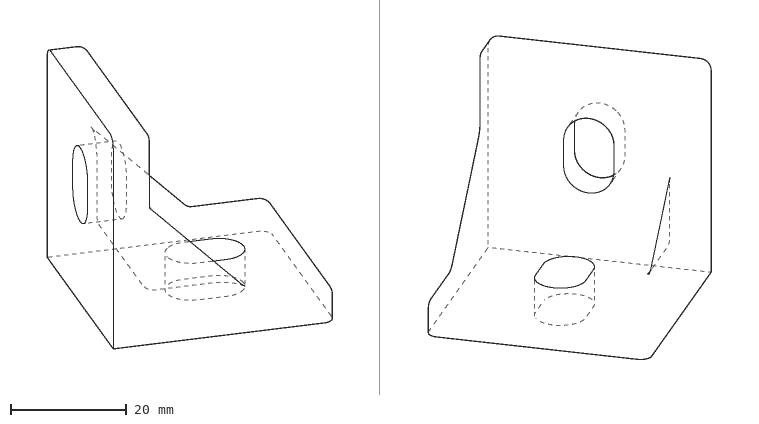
import cadquery as cq

size = 40.0
plate = 7.0
rib_width = 5.0
rib_reach = 24.9
edge_radius = 2.0
wide_radius = 2.35
slot_width = 9.0
slot_length = 14.0
slot_center = 22.5

probe = 0.05


def extrude_profile(points, x_start, width):
    """Extrude a Y-Z outline along +X."""
    return cq.Workplane("YZ", origin=(x_start, 0, 0)).polyline(points).close().extrude(width)


def edges_at(body, low, high):
    """Edges whose centres lie between two corner points."""
    low = tuple(value - probe for value in low)
    high = tuple(value + probe for value in high)
    return body.edges(cq.selectors.BoxSelector(low, high))


def make_rib(x_start, inner_x, radius):
    """Triangular rib whose sloping edge is rounded on the inner side."""
    outline = [(0, 0), (rib_reach + plate, 0), (0, rib_reach + plate)]
    rib = extrude_profile(outline, x_start, rib_width)
    slope_middle = (rib_reach + plate) / 2
    point = (inner_x, slope_middle, slope_middle)
    return edges_at(rib, point, point).fillet(radius)


def round_junction(body, x_low, x_high, radius, corner_depth):
    """Fillet the concave edges around a rib's foot, up to corner_depth off each plate in the corner."""
    feet = [
        ((x_low, plate, plate), (x_high, plate, rib_reach)),
        ((x_low, plate, plate), (x_high, rib_reach, plate)),
        ((x_low, plate, plate), (x_high, plate + corner_depth, plate + corner_depth)),
    ]
    edges = []
    for low, high in feet:
        for edge in edges_at(body, low, high).vals():
            if not any(edge.isSame(other) for other in edges):
                edges.append(edge)
    return body.newObject(edges).fillet(radius)


def cut_slot(body, plane, plane_origin):
    """Cut a slot through one plate; it is elongated away from the outer corner."""
    cutter = cq.Workplane(plane, origin=plane_origin).slot2D(slot_length, slot_width, 90)
    return body.cut(cutter.extrude(plate, both=True))


angle_outline = [(0, 0), (size, 0), (size, plate), (plate, plate), (plate, size), (0, size)]
body = extrude_profile(angle_outline, 0, size)
body = edges_at(body, (0, size, plate), (size, size, plate)).fillet(wide_radius)
body = edges_at(body, (0, plate, size), (size, plate, size)).fillet(edge_radius)

body = body.union(make_rib(size - rib_width, size - rib_width, wide_radius))
body = round_junction(body, rib_width, size, wide_radius, 0)

body = body.union(make_rib(0, rib_width, edge_radius))
body = round_junction(body, 0, rib_width, edge_radius, wide_radius)

for x in (0, size):
    body = edges_at(body, (x, plate / 2, plate / 2), (x, size, size)).fillet(edge_radius)

body = cut_slot(body, "XY", (size / 2, slot_center, 0))
body = cut_slot(body, "XZ", (size / 2, 0, slot_center))

result = body